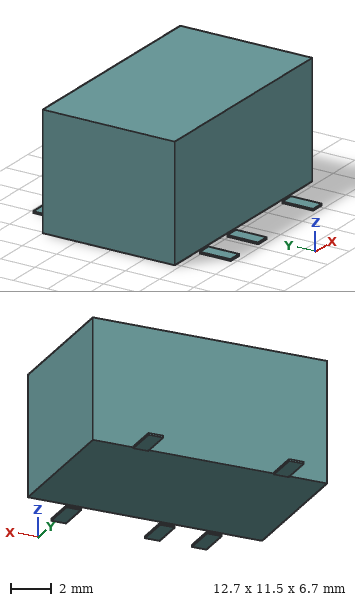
import cadquery as cq

housing_length = 12.7
housing_width = 7.7
housing_height = 6.6

lead_width = 0.8
lead_length = 1.8
lead_thickness = 0.1
lead_gap = 0.1
lead_pitch = 2.54

outer_lead_x = 1.5 * lead_pitch
inner_lead_x = 0.5 * lead_pitch
front_lead_xs = [-outer_lead_x, -inner_lead_x, outer_lead_x]
back_lead_xs = [-outer_lead_x, outer_lead_x]

lead_y = housing_width / 2 + lead_gap + lead_length / 2


def make_housing():
    """Plain rectangular block standing on Z = 0."""
    return cq.Workplane("XY").box(
        housing_length, housing_width, housing_height, centered=(True, True, False)
    )


def make_lead(x, y):
    """Flat strip centred at (x, y), with its top face at Z = 0."""
    strip = cq.Workplane("XY").box(
        lead_width, lead_length, lead_thickness, centered=(True, True, False)
    )
    return strip.translate((x, y, -lead_thickness))


housing = make_housing()

leads = []
for side, lead_xs in ((-1, front_lead_xs), (1, back_lead_xs)):
    for x in lead_xs:
        leads.append(make_lead(x, side * lead_y))

result = cq.Compound.makeCompound([housing.val(), *[lead.val() for lead in leads]])